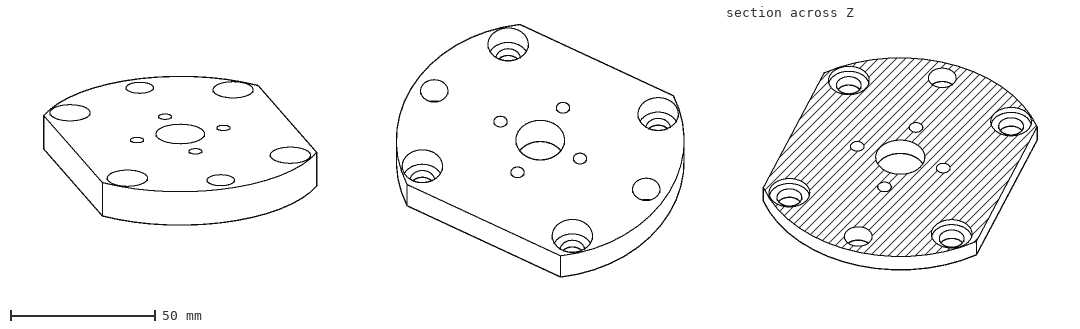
import cadquery as cq

plate_diameter = 99.7
width_across_flats = 78.7
thickness = 12.7

bore_diameter = 16.9
small_hole_diameter = 4.6
small_hole_circle_radius = 15.9
small_hole_count = 4

side_hole_diameter = 9.5
side_hole_offset = 42.3

mount_spacing = 59.8
mount_hole_diameter = 8.6
counterbore_diameter = 14.0
counterbore_depth = 8.6


def make_plate():
    """Disc trimmed by flats on the -Y and +Y sides, base at Z = 0."""
    disc = cq.Workplane("XY").circle(plate_diameter / 2).extrude(thickness)
    trim = cq.Workplane("XY").rect(plate_diameter, width_across_flats).extrude(thickness)
    return disc.intersect(trim)


def top_face(body):
    """Workplane on the top face, centred on the plate axis."""
    return body.faces(">Z").workplane(origin=(0, 0, thickness))


def drill_centre_pattern(body):
    body = top_face(body).hole(bore_diameter)
    ring = top_face(body).polarArray(small_hole_circle_radius, 0, 360, small_hole_count)
    return ring.hole(small_hole_diameter)


def drill_side_holes(body):
    centres = [(-side_hole_offset, 0), (side_hole_offset, 0)]
    return top_face(body).pushPoints(centres).hole(side_hole_diameter)


def drill_mount_holes(body):
    corners = top_face(body).rarray(mount_spacing, mount_spacing, 2, 2)
    return corners.cboreHole(mount_hole_diameter, counterbore_diameter, counterbore_depth)


result = make_plate()
result = drill_centre_pattern(result)
result = drill_side_holes(result)
result = drill_mount_holes(result)